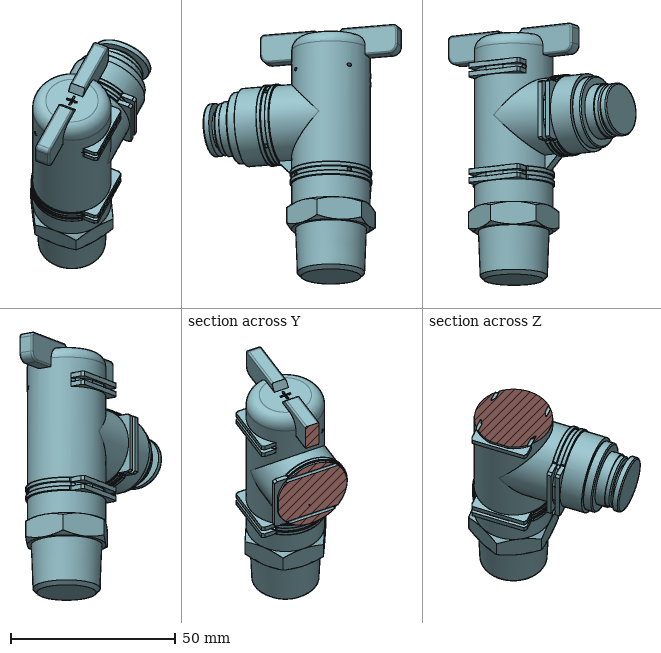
import cadquery as cq
import math

body_radius = 12.0
body_top = 75.1
dome_radius = 4.0
branch_height = 49.2
branch_length = 27.1

plug_height = 15.0
plug_top_radius = 10.8
plug_bottom_radius = 10.3
plug_chamfer = 1.2
hex_height = 7.0
hex_across_flats = 24.0
hex_bevel_angle = 30
hex_top = plug_height + hex_height

connector_steps = [(11.0, 30.15, 0.4), (8.4, 33.25, 0.0), (8.05, 35.0, 0.5), (5.9, 36.2, 0.0)]
collar_back_bevel = 0.2
flange_end = 38.1
flange_half_width = 9.2
flange_half_height = 8.05
flange_bevel = 0.4

rib_radius = 12.45
rib_bevel = 0.19
rib_width = 1.5
rib_gap = 1.2
lug_start = 7.8
lug_end = 12.5
lug_half_length = 9.05
lug_bevel_depth = 0.9
lug_bevel_length = 0.55
slot_floor = lug_end - lug_bevel_depth
pin_diameter = 1.0
pin_offset = 8.6
core_radius = 10.0
lower_joint_height = 31.1
upper_joint_height = 64.0
branch_joint_position = 18.0

gusset_thickness = 3.0
gusset_reach = 16.7

handle_half_length = 21.95
handle_width = 4.8
handle_top = 77.3
handle_bottom = 68.3
handle_top_rounding = 1.4
handle_bottom_rounding = 2.8
handle_edge_rounding = 0.55
notch_top_half = 4.5
notch_bottom_half = 2.6

cross_length = 3.55
cross_width = 0.55
cross_depth = 0.9


def cylinder(radius, start, end):
    return cq.Workplane("XY").workplane(offset=start).circle(radius).extrude(end - start)


def to_branch(shape):
    """Turn a shape built around +Z so that it lies around the branch axis along +Y."""
    return shape.rotate((0, 0, 0), (1, 0, 0), -90).translate((0, 0, branch_height))


def thread_plug():
    tip_radius = plug_bottom_radius - plug_chamfer
    profile = [
        (0, 0),
        (tip_radius, 0),
        (plug_bottom_radius, plug_chamfer),
        (plug_top_radius, plug_height),
        (0, plug_height),
    ]
    return cq.Workplane("XZ").polyline(profile).close().revolve(360, (0, 0), (0, 1))


def hexagon():
    """Hexagon with corners on the X axis, its corners bevelled at both ends."""
    flat_radius = hex_across_flats / 2
    corner_radius = flat_radius / math.cos(math.radians(30))
    bevel = (corner_radius - flat_radius) * math.tan(math.radians(hex_bevel_angle))
    prism = (
        cq.Workplane("XY").workplane(offset=plug_height)
        .polygon(6, 2 * corner_radius).extrude(hex_height)
    )
    profile = [
        (0, plug_height),
        (flat_radius, plug_height),
        (corner_radius, plug_height + bevel),
        (corner_radius, hex_top - bevel),
        (flat_radius, hex_top),
        (0, hex_top),
    ]
    bevelled_blank = cq.Workplane("XZ").polyline(profile).close().revolve(360, (0, 0), (0, 1))
    return prism.intersect(bevelled_blank)


def connector():
    """Stepped tube connector that ends in an oval release flange."""
    start = branch_length
    shape = None
    for radius, end, bevel in connector_steps:
        step = cylinder(radius, start, end)
        if bevel:
            step = step.faces(">Z").chamfer(bevel)
        if shape is None:
            shape = step.faces("<Z").chamfer(collar_back_bevel)
        else:
            shape = shape.union(step)
        start = end
    flange = (
        cq.Workplane("XY").workplane(offset=start)
        .ellipse(flange_half_width, flange_half_height).extrude(flange_end - start)
        .faces(">Z").chamfer(flange_bevel)
    )
    return shape.union(flange)


def joint_levels():
    """Bottoms of the two ribs, measured from the middle of the joint."""
    return (-rib_gap / 2 - rib_width, rib_gap / 2)


def side_block(start, thickness):
    """Block centred on the joint that fills the +X side from start outwards."""
    return (
        cq.Workplane("XY")
        .box(body_radius, 4 * body_radius, thickness, centered=(False, True, True))
        .translate((start, 0, 0))
    )


def ribs():
    """Pair of bevelled rings that stop where the lugs begin."""
    shape = cq.Workplane("XY")
    for level in joint_levels():
        shape = shape.union(cylinder(rib_radius, level, level + rib_width).edges().chamfer(rib_bevel))
    return shape.cut(side_block(lug_start, rib_gap + 2 * rib_width))


def lugs():
    """Pair of straight lugs on the +X side with bevelled outer corners."""
    face_end = lug_end - lug_bevel_depth
    tip_half_length = lug_half_length - lug_bevel_length
    outline = [
        (lug_start, -lug_half_length),
        (face_end, -lug_half_length),
        (lug_end, -tip_half_length),
        (lug_end, tip_half_length),
        (face_end, lug_half_length),
        (lug_start, lug_half_length),
    ]
    shape = cq.Workplane("XY")
    for level in joint_levels():
        lug = cq.Workplane("XY").workplane(offset=level).polyline(outline).close().extrude(rib_width)
        shape = shape.union(lug)
    return shape


def lug_slot():
    """Flat-floored slot between the two lugs."""
    return side_block(slot_floor, rib_gap)


def pin_holes():
    """Two parallel holes along X, one on each side of the joint axis."""
    return (
        cq.Workplane("YZ").pushPoints([(-pin_offset, 0), (pin_offset, 0)])
        .circle(pin_diameter / 2).extrude(lug_end, both=True)
    )


def gusset():
    """Web whose free edge slopes at 45 degrees from the branch down into the body."""
    branch_bottom = branch_height - body_radius
    profile = [
        (0, branch_height),
        (gusset_reach, branch_height),
        (gusset_reach, branch_bottom),
        (0, branch_bottom - gusset_reach),
    ]
    return cq.Workplane("YZ").polyline(profile).close().extrude(gusset_thickness / 2, both=True)


def handle():
    bar = (
        cq.Workplane("XY")
        .box(handle_width, 2 * handle_half_length, handle_top - handle_bottom)
        .translate((0, 0, (handle_top + handle_bottom) / 2))
    )
    bar = bar.edges("|X and >Z").fillet(handle_top_rounding)
    bar = bar.edges("|X and <Z").fillet(handle_bottom_rounding)
    bar = bar.faces("<X or >X").edges().fillet(handle_edge_rounding)
    notch = (
        cq.Workplane("YZ")
        .polyline([
            (-notch_top_half, handle_top),
            (notch_top_half, handle_top),
            (notch_bottom_half, body_top),
            (-notch_bottom_half, body_top),
        ])
        .close().extrude(handle_width, both=True)
    )
    return bar.cut(notch)


def cross_recess():
    """Two crossed grooves whose floors slope down to the middle."""
    half = cross_length / 2
    profile = [(-half, body_top), (half, body_top), (0, body_top - cross_depth)]
    groove = cq.Workplane("XZ").polyline(profile).close().extrude(cross_width / 2, both=True)
    return groove.union(groove.rotate((0, 0, 0), (0, 0, 1), 90))


lower_joint = (0, 0, lower_joint_height)
upper_joint = (0, 0, upper_joint_height)
branch_joint = (0, 0, branch_joint_position)

column = cylinder(body_radius, hex_top, body_top).faces(">Z").edges().fillet(dome_radius)
branch = cylinder(body_radius, 0, branch_length)
branch = branch.union(connector())
branch = branch.union(ribs().translate(branch_joint))
branch = branch.union(lugs().translate(branch_joint))

result = thread_plug().union(hexagon()).union(column).union(to_branch(branch)).union(gusset())
result = result.union(ribs().translate(lower_joint))
for joint in (lower_joint, upper_joint):
    result = result.union(lugs().translate(joint))
result = result.union(handle())

column_holes = pin_holes().cut(cylinder(core_radius, -pin_diameter, pin_diameter))
for joint in (lower_joint, upper_joint):
    result = result.cut(lug_slot().translate(joint)).cut(column_holes.translate(joint))
result = result.cut(to_branch(lug_slot().union(pin_holes()).translate(branch_joint)))
result = result.cut(cross_recess())